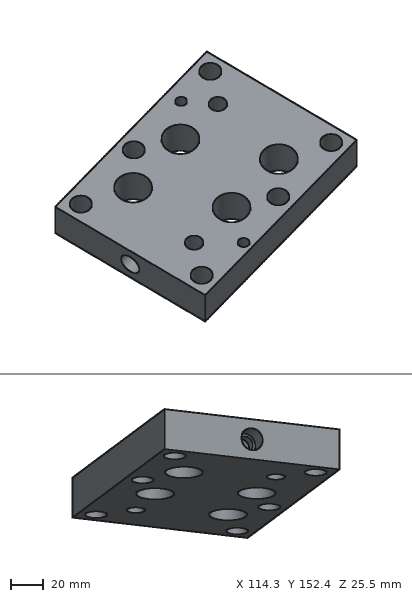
import cadquery as cq
import math

plate_width = 114.3
plate_length = 152.4
plate_height = 25.5

row_pitch = 23.8
inner_row_y = row_pitch / 2
outer_row_y = inner_row_y + row_pitch

bolt_diameter = 13.4
bolt_x = 46.0
corner_bolt_y = 65.0

bore_diameter = 23.0
bore_x = 28.5

passage_diameter = 11.1
passage_x = 27.0
passage_y = 2 * row_pitch

pin_diameter = 7.2
offset_pin_x = 50.9
offset_pin_y = 29.3
pin_depth = 12.2

port_mouth_diameter = 13.9
port_mouth_depth = 12.2
port_core_diameter = 10.7
port_core_depth = 18.3

drill_point_angle = 118.0


def drill(diameter, depth):
    """Solid of a drilled blind hole: entry at the origin, conical point towards -Z."""
    radius = diameter / 2
    tip_depth = depth + radius / math.tan(math.radians(drill_point_angle / 2))
    profile = [(0, 0), (radius, 0), (radius, -depth), (0, -tip_depth)]
    return cq.Workplane("XZ").polyline(profile).close().revolve(360, (0, 0, 0), (0, 1, 0))


def with_opposite(points):
    """Add to each point the one half a turn away about the plate centre."""
    return points + [(-x, -y) for x, y in points]


def through_holes(diameter, points):
    """Vertical cylinders through the full plate height."""
    return (
        cq.Workplane("XY", origin=(0, 0, -plate_height / 2))
        .pushPoints(points)
        .circle(diameter / 2)
        .extrude(plate_height)
    )


def pin_hole(x, y):
    return drill(pin_diameter, pin_depth).translate((x, y, plate_height / 2))


def side_port():
    """Wide mouth followed by a narrower drilled core, running along +Y."""
    mouth = cq.Workplane("XY").circle(port_mouth_diameter / 2).extrude(-port_mouth_depth)
    port = mouth.union(drill(port_core_diameter, port_core_depth))
    return port.rotate((0, 0, 0), (1, 0, 0), 90).translate((0, -plate_length / 2, 0))


bolt_points = with_opposite(
    [(-bolt_x, corner_bolt_y), (bolt_x, corner_bolt_y), (bolt_x, inner_row_y)]
)
bore_points = [
    (bore_x, outer_row_y),
    (bore_x, -inner_row_y),
    (-bore_x, inner_row_y),
    (-bore_x, -outer_row_y),
]
passage_points = with_opposite([(-passage_x, passage_y)])

result = (
    cq.Workplane("XY")
    .box(plate_width, plate_length, plate_height)
    .cut(through_holes(bolt_diameter, bolt_points))
    .cut(through_holes(bore_diameter, bore_points))
    .cut(through_holes(passage_diameter, passage_points))
    .cut(pin_hole(-bolt_x, outer_row_y))
    .cut(pin_hole(offset_pin_x, -offset_pin_y))
    .cut(side_port())
)